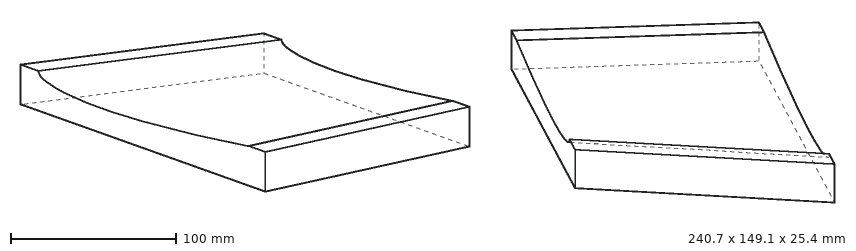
import cadquery as cq
import math


overall_length = 240.74
span = 149.08
height = 25.4

root_chord = 190.5
leading_edge_sweep = 54.0
thickness_ratio = 0.10

leading_ledge = 16.21
trailing_ledge = 15.36

root_length = leading_ledge + root_chord + trailing_ledge
trailing_edge_sweep = overall_length - root_length
tip_chord = root_chord - leading_edge_sweep + trailing_edge_sweep

profile_intervals = 16
cut_clearance = 5.0


def half_thickness(chord_fraction):
    """NACA four-digit half thickness, as a fraction of the chord."""
    x = chord_fraction
    polynomial = 0.2969 * math.sqrt(x) - 0.1260 * x - 0.3516 * x**2 + 0.2843 * x**3 - 0.1015 * x**4
    return 5 * thickness_ratio * polynomial


def make_block():
    corners = [
        (0, 0),
        (root_length, 0),
        (overall_length, span),
        (leading_edge_sweep, span),
    ]
    return cq.Workplane("XY").polyline(corners).close().extrude(height)


def bed_section(leading_edge_x, chord, y):
    """Closed lower-half aerofoil hanging from the top of the block."""
    points = []
    for i in range(profile_intervals + 1):
        fraction = (1 - math.cos(math.pi * i / profile_intervals)) / 2
        depth = chord * half_thickness(fraction)
        points.append(cq.Vector(leading_edge_x + chord * fraction, y, height - depth))
    trailing_edge_top = cq.Vector(leading_edge_x + chord, y, height)
    lower_surface = cq.Edge.makeSpline(points)
    trailing_step = cq.Edge.makeLine(points[-1], trailing_edge_top)
    chord_line = cq.Edge.makeLine(trailing_edge_top, points[0])
    return cq.Wire.assembleEdges([lower_surface, trailing_step, chord_line])


def section_at(y):
    """Bed section at a spanwise station; taper and sweep are linear in Y."""
    span_fraction = y / span
    leading_edge_x = leading_ledge + leading_edge_sweep * span_fraction
    chord = root_chord + (tip_chord - root_chord) * span_fraction
    return bed_section(leading_edge_x, chord, y)


def make_wing_bed():
    sections = [section_at(-cut_clearance), section_at(span + cut_clearance)]
    return cq.Workplane(obj=cq.Solid.makeLoft(sections, True))


result = make_block().cut(make_wing_bed())